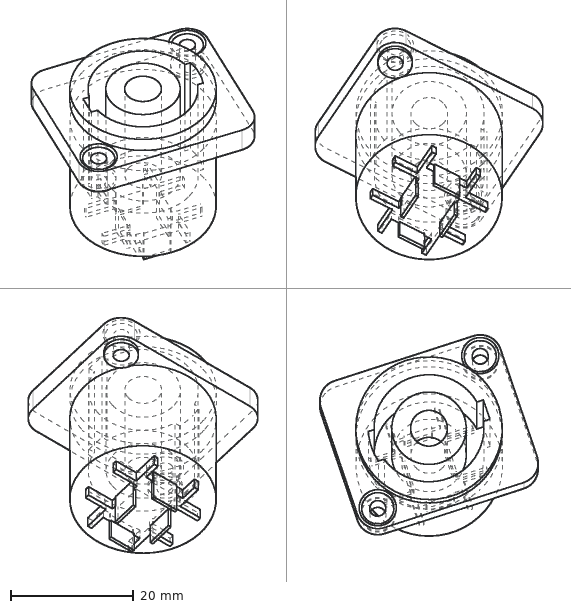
import cadquery as cq

total_height = 32.5
flange_top = 30.0
flange_bottom = 25.5
screw_boss_bottom = 24.7
body_bottom = 6.0
holder_bottom = 4.0

body_diameter = 24.0
flange_width = 26.0
flange_length = 31.0
flange_corner_radius = 3.5

socket_diameter = 18.0
post_diameter = 12.2
post_bore_diameter = 6.0
socket_depth = 19.5
keyway_reach = 9.95
wide_key_width = 5.23
narrow_key_width = 3.4

screw_x = 9.5
screw_y = 12.0
screw_hole_diameter = 2.6
screw_boss_diameter = 5.65
recess_top_diameter = 6.08
recess_floor_diameter = 5.25
recess_depth = 0.4

holder_half_size = 8.78
wall_thickness = 0.78
wall_inner_x = 3.25
wall_inner_y = 3.8

terminal_width = 4.78
terminal_thickness = 0.52
terminal_x = 5.7
terminal_y = 3.67


def cylinder(diameter, bottom, top):
    return cq.Workplane("XY").workplane(offset=bottom).circle(diameter / 2).extrude(top - bottom)


def box(x_size, y_size, bottom, top, center=(0, 0)):
    plane = cq.Workplane("XY").workplane(offset=bottom).center(*center)
    return plane.rect(x_size, y_size).extrude(top - bottom)


def make_shell():
    flange = box(flange_width, flange_length, flange_bottom, flange_top)
    flange = flange.edges("|Z").fillet(flange_corner_radius)
    shell = cylinder(body_diameter, body_bottom, total_height).union(flange)
    for side in (-1, 1):
        boss = cylinder(screw_boss_diameter, screw_boss_bottom, flange_top)
        shell = shell.union(boss.translate((side * screw_x, -side * screw_y, 0)))
    return shell


def make_socket():
    floor = total_height - socket_depth
    socket = cylinder(socket_diameter, floor, total_height)
    wide_key = box(wide_key_width, keyway_reach, floor, total_height, (0, keyway_reach / 2))
    wide_key = wide_key.intersect(cylinder(2 * keyway_reach, floor, total_height))
    narrow_key = box(narrow_key_width, keyway_reach, floor, total_height, (0, -keyway_reach / 2))
    post = cylinder(post_diameter, floor, total_height)
    bore = cylinder(post_bore_diameter, floor, total_height)
    return socket.union(wide_key).union(narrow_key).cut(post).union(bore)


def make_screw_cut():
    hole = cylinder(screw_hole_diameter, screw_boss_bottom, flange_top)
    recess = (
        cq.Workplane("XY")
        .workplane(offset=flange_top - recess_depth)
        .circle(recess_floor_diameter / 2)
        .workplane(offset=recess_depth)
        .circle(recess_top_diameter / 2)
        .loft()
    )
    return hole.union(recess)


def make_holder():
    wall_outer_x = wall_inner_x + wall_thickness
    wall_outer_y = wall_inner_y + wall_thickness
    corner_wall = (
        cq.Workplane("XY")
        .workplane(offset=holder_bottom)
        .polyline([
            (wall_inner_x, wall_inner_y),
            (holder_half_size, wall_inner_y),
            (holder_half_size, wall_outer_y),
            (wall_outer_x, wall_outer_y),
            (wall_outer_x, holder_half_size),
            (wall_inner_x, holder_half_size),
        ])
        .close()
        .extrude(body_bottom - holder_bottom)
    )
    half_walls = corner_wall.union(corner_wall.mirror("YZ"))
    core = box(2 * terminal_x, 2 * wall_inner_y, holder_bottom, body_bottom)
    return core.union(half_walls).union(half_walls.mirror("XZ"))


def make_terminals():
    terminals = cq.Workplane("XY")
    for side in (-1, 1):
        across_x = box(terminal_width, terminal_thickness, 0, body_bottom, (0, side * terminal_y))
        across_y = box(terminal_thickness, terminal_width, 0, body_bottom, (side * terminal_x, 0))
        terminals = terminals.add(across_x).add(across_y)
    return terminals.combine()


result = make_shell().cut(make_socket())
for side in (-1, 1):
    result = result.cut(make_screw_cut().translate((side * screw_x, -side * screw_y, 0)))
result = result.union(make_holder()).union(make_terminals())